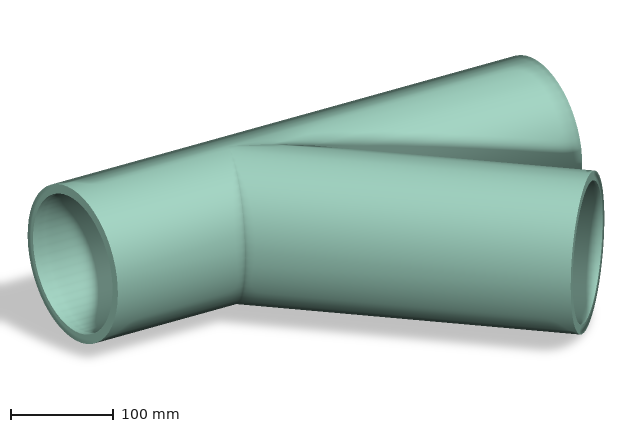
import cadquery as cq
import math

outer_diameter = 160.0
bore_diameter = 141.0
run_length = 539.0
run_below_crossing = 181.0
branch_length = 356.0
branch_angle = 45.0

branch_radians = math.radians(branch_angle)
crossing = cq.Vector(0, 0, 0)
run_direction = cq.Vector(0, 1, 0)
branch_direction = cq.Vector(math.sin(branch_radians), math.cos(branch_radians), 0)
run_start = crossing - run_direction * run_below_crossing


def cylinder(diameter, length, start, direction):
    """Solid cylinder from a start point along a direction."""
    return cq.Workplane(cq.Solid.makeCylinder(diameter / 2, length, start, direction))


def junction(diameter):
    """Run and branch cylinders of one diameter, joined."""
    run = cylinder(diameter, run_length, run_start, run_direction)
    branch = cylinder(diameter, branch_length, crossing, branch_direction)
    return run.union(branch)


result = junction(outer_diameter).cut(junction(bore_diameter))